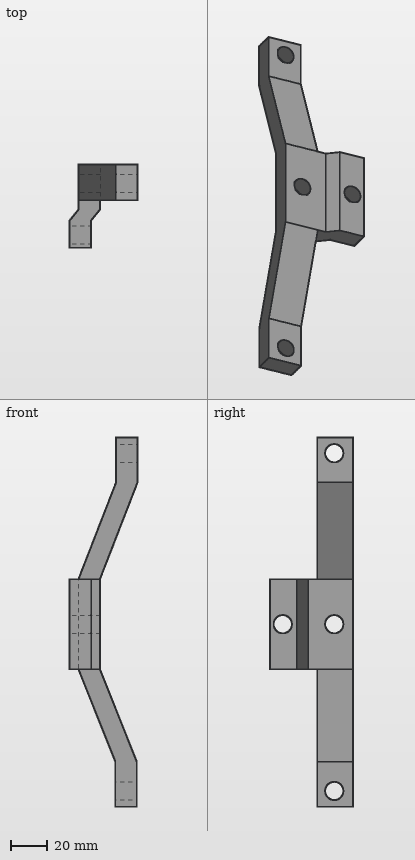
import cadquery as cq

total_depth = 37.8
plate_width = 46.19
total_height = 204.64

thickness = 12.0
arm_width = 20.0
tab_height = 25.0
upper_rise = 53.5
lower_shift = 20.4

plate_height = 50.0
joggle_shift = 5.0
joggle_start = 25.0
flange_width = 15.0

hole_diameter = 10.0
arm_hole_inset = 10.5
flange_hole_inset = 39.0
tab_hole_inset = 8.8

half_plate = plate_height / 2
upper_shift = total_depth - joggle_shift - thickness
lower_rise = total_height - plate_height - 2 * tab_height - upper_rise
upper_bend = half_plate + upper_rise
lower_bend = -half_plate - lower_rise
top = upper_bend + tab_height
bottom = lower_bend - tab_height
joggle_end = plate_width - flange_width


def thicken(near_face):
    """Close an outline by repeating its near face one thickness further along X."""
    far_face = [(x + thickness, other) for x, other in reversed(near_face)]
    return near_face + far_face


def make_strip():
    """Full-height bent strip: two end tabs and two sloped arms."""
    near_face = [
        (lower_shift, bottom),
        (lower_shift, lower_bend),
        (0, -half_plate),
        (0, half_plate),
        (upper_shift, upper_bend),
        (upper_shift, top),
    ]
    return cq.Workplane("XZ").polyline(thicken(near_face)).close().extrude(arm_width)


def make_plate():
    """Centre plate with its front flange stepped towards -X."""
    near_face = [
        (0, 0),
        (0, -joggle_start),
        (-joggle_shift, -joggle_end),
        (-joggle_shift, -plate_width),
    ]
    base = cq.Workplane("XY").workplane(offset=-half_plate)
    return base.polyline(thicken(near_face)).close().extrude(plate_height)


def make_holes():
    """Cylinders along X: one through each tab and two through the plate."""
    centres = [
        (-arm_hole_inset, top - tab_hole_inset),
        (-arm_hole_inset, 0),
        (-flange_hole_inset, 0),
        (-arm_hole_inset, bottom + tab_hole_inset),
    ]
    start = cq.Workplane("YZ").workplane(offset=-joggle_shift)
    return start.pushPoints(centres).circle(hole_diameter / 2).extrude(total_depth)


result = make_strip().union(make_plate()).cut(make_holes())